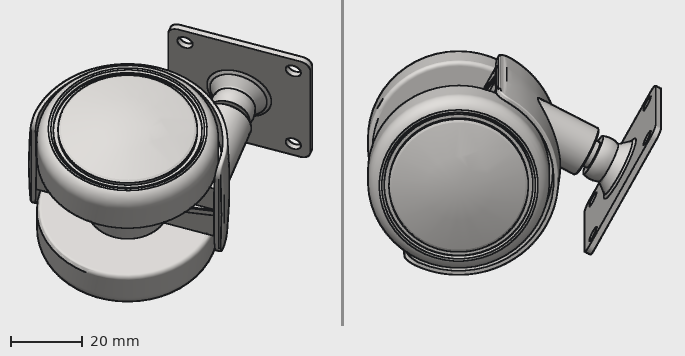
import cadquery as cq


wheel_radius = 25.4
wheel_inner_z = 10.4
wheel_rim_z = 23.9
shoulder_z = 19.2
inner_edge_radius = 1.3
rim_outer_radius = 22.2
rim_inner_radius = 21.5
groove_outer_radius = 20.8
groove_bottom_z = 23.0
rim_step = 0.4
cap_radius = 19.5
cap_edge_z = 24.0
dome_radius = 18.7
dome_edge_z = 24.4
dome_apex_z = 27.4
axle_radius = 11.5

hood_half_width = 19.0
hood_crown_radius = 28.5
hood_edge_radius = 27.9
hood_inner_crown_radius = 26.2
hood_inner_edge_radius = 26.6
hood_end_y = -2.5
hood_end_rise = 0.4
hood_corner_radius = 4.0
hood_edge_fillet = 0.4

body_front_y = -2.1
body_radius = (hood_crown_radius + hood_inner_crown_radius) / 2
rib_half_thickness = 1.2
rib_edge_chamfer = 0.25
rib_start_x = 10.2
rib_start_y = -5.3
rib_root_y = 2.0

stem_x = 19.0
plate_size = 42.0
plate_thickness = 1.8
plate_top_y = 42.8
plate_corner_radius = 3.0
hole_spacing = 32.0
hole_diameter = 4.5
flange_radius = 9.5
flange_shoulder_radius = 8.4
flange_shoulder_y = 40.4
flange_neck_radius = 6.3
flange_bottom_y = 37.9
collar_top_y = 37.3
collar_bottom_y = 32.5
collar_radius = 6.5
collar_end_radius = 6.0
neck_radius = 4.05
socket_radius = 7.3
socket_top_y = 30.5
socket_bottom_y = 8.0
socket_edge_chamfer = 0.3
plate_bottom_y = plate_top_y - plate_thickness


def make_wheel():
    """Wheel on the +Z side: rounded tread, rim step, groove and domed cap."""
    dome_height = dome_apex_z - dome_edge_z
    dome_sphere_radius = (dome_radius**2 + dome_height**2) / (2 * dome_height)
    profile = (
        cq.Workplane("XZ")
        .moveTo(0, wheel_inner_z)
        .lineTo(wheel_radius - inner_edge_radius, wheel_inner_z)
        .radiusArc((wheel_radius, wheel_inner_z + inner_edge_radius), -inner_edge_radius)
        .lineTo(wheel_radius, shoulder_z)
        .radiusArc((rim_outer_radius, wheel_rim_z), -(wheel_rim_z - shoulder_z))
        .lineTo(rim_inner_radius, wheel_rim_z)
        .lineTo(groove_outer_radius, wheel_rim_z - rim_step)
        .lineTo(groove_outer_radius, groove_bottom_z)
        .lineTo(cap_radius, groove_bottom_z)
        .lineTo(cap_radius, cap_edge_z)
        .lineTo(dome_radius, dome_edge_z)
        .radiusArc((0, dome_apex_z), -dome_sphere_radius)
        .close()
    )
    return profile.revolve(360, (0, 0, 0), (0, 1, 0))


def hood_section(side):
    """Crowned cross-section of the hood on the y = 0 plane, on the +X (1) or -X (-1) side."""
    return (
        cq.Workplane("XZ")
        .moveTo(side * hood_edge_radius, -hood_half_width)
        .threePointArc((side * hood_crown_radius, 0), (side * hood_edge_radius, hood_half_width))
        .lineTo(side * hood_inner_edge_radius, hood_half_width)
        .threePointArc(
            (side * hood_inner_crown_radius, 0), (side * hood_inner_edge_radius, -hood_half_width)
        )
        .close()
    )


def make_hood():
    """Half ring over the wheels with short straight ends, rounded at their corners."""
    hood = hood_section(1).revolve(180, (0, 0, 0), (0, 1, 0))
    for side in (1, -1):
        hood = hood.union(hood_section(side).extrude(-hood_end_y))
    corner_y = hood_end_y + hood_end_rise
    limit = (
        cq.Workplane("YZ")
        .moveTo(plate_top_y, -hood_half_width)
        .lineTo(corner_y, -hood_half_width)
        .threePointArc((hood_end_y, 0), (corner_y, hood_half_width))
        .lineTo(plate_top_y, hood_half_width)
        .close()
        .extrude(plate_top_y, both=True)
        .edges("|X")
        .edges("<Y")
        .fillet(hood_corner_radius)
    )
    hood = hood.intersect(limit)
    return hood.faces(">Z or <Z").edges(">Y").fillet(hood_edge_fillet)


def make_body():
    """Half disc between the wheels with a flat front, carried on a round axle."""
    disc = cq.Workplane("XY").circle(body_radius).extrude(wheel_inner_z, both=True)
    kept_half = (
        cq.Workplane("XZ", origin=(0, body_front_y, 0))
        .rect(2 * body_radius, 2 * wheel_inner_z)
        .extrude(-2 * body_radius)
    )
    axle = cq.Workplane("XY").circle(axle_radius).extrude(wheel_inner_z, both=True)
    return disc.intersect(kept_half).union(axle)


def make_rib():
    """Gusset on the body front, sloping back from the axle to the +X end of the hood."""
    rib_end_x = hood_inner_crown_radius
    return (
        cq.Workplane("XY")
        .moveTo(rib_start_x, rib_root_y)
        .lineTo(rib_start_x, rib_start_y)
        .lineTo(rib_end_x, hood_end_y)
        .lineTo(rib_end_x, rib_root_y)
        .close()
        .extrude(rib_half_thickness, both=True)
        .faces("<Y")
        .edges("<Z or >Z")
        .chamfer(rib_edge_chamfer)
    )


def make_stem():
    """Turned swivel stem: flange, rounded collar, neck and socket."""
    collar_middle_y = (collar_top_y + collar_bottom_y) / 2
    profile = (
        cq.Workplane("XY")
        .moveTo(0, plate_bottom_y)
        .lineTo(flange_radius, plate_bottom_y)
        .lineTo(flange_shoulder_radius, flange_shoulder_y)
        .lineTo(flange_neck_radius, flange_bottom_y)
        .lineTo(collar_end_radius, collar_top_y)
        .threePointArc((collar_radius, collar_middle_y), (collar_end_radius, collar_bottom_y))
        .lineTo(neck_radius, collar_bottom_y)
        .lineTo(neck_radius, socket_top_y)
        .lineTo(socket_radius - socket_edge_chamfer, socket_top_y)
        .lineTo(socket_radius, socket_top_y - socket_edge_chamfer)
        .lineTo(socket_radius, socket_bottom_y)
        .lineTo(0, socket_bottom_y)
        .close()
    )
    return profile.revolve(360, (0, 0, 0), (0, 1, 0)).translate((stem_x, 0, 0))


def make_plate():
    """Square mounting plate with rounded corners and four screw holes."""
    return (
        cq.Workplane("XZ", origin=(stem_x, plate_top_y, 0))
        .rect(plate_size, plate_size)
        .extrude(plate_thickness)
        .edges("|Y")
        .fillet(plate_corner_radius)
        .faces(">Y")
        .workplane(origin=(stem_x, plate_top_y, 0))
        .rect(hole_spacing, hole_spacing, forConstruction=True)
        .vertices()
        .hole(hole_diameter)
    )


wheel = make_wheel()
result = (
    make_body()
    .union(make_hood())
    .union(make_rib())
    .union(wheel)
    .union(wheel.mirror("XY"))
    .union(make_stem())
    .union(make_plate())
)